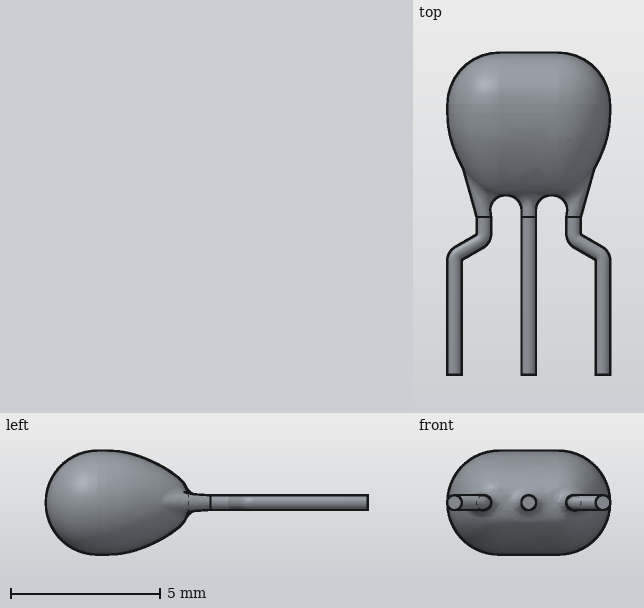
import cadquery as cq
import math

lead_radius = 0.25
lead_end_span = 4.98
lead_end_pitch = lead_end_span / 2
lead_root_pitch = 1.5
bend_radius = 0.3
bend_slope = 30
lower_bend_y = 3.81
coating_end_y = 5.28

coating_top_y = 10.8
coating_radius = 1.75
flat_length = 0.29
core_half_width = 0.98
belly_height = 1.48
belly_y = 7.45
throat_height = 0.83
throat_y = 6.34
belly_tip_y = 6.0

collar_top_y = 7.88
collar_top_radius = 0.43
collar_top_x = 2.04
web_radius = 0.48

round_start_y = coating_top_y - coating_radius
taper_start_y = round_start_y - flat_length


def drop_half_profile():
    """Half of the drop in the YZ plane, closed along the Y axis."""
    diagonal = coating_radius * math.sqrt(0.5)
    return (
        cq.Workplane("YZ")
        .moveTo(coating_top_y, 0)
        .threePointArc((round_start_y + diagonal, diagonal), (round_start_y, coating_radius))
        .lineTo(taper_start_y, coating_radius)
        .spline(
            [(belly_y, belly_height), (throat_y, throat_height), (belly_tip_y, 0)],
            tangents=[(-1, 0), (0, -1)],
            includeCurrent=True,
        )
        .close()
    )


def drop_core():
    upper = drop_half_profile().extrude(2 * core_half_width).translate((-core_half_width, 0, 0))
    core = upper.union(upper.mirror("XY"))
    end = drop_half_profile().revolve(360, (0, 0, 0), (1, 0, 0))
    for side in (-1, 1):
        core = core.union(end.translate((side * core_half_width, 0, 0)))
    return core


def collar(bottom_x, top_x, top_radius):
    """Round stem that leans and widens from the lead into the drop."""
    bottom = cq.Wire.makeCircle(lead_radius, cq.Vector(bottom_x, coating_end_y, 0), cq.Vector(0, 1, 0))
    top = cq.Wire.makeCircle(top_radius, cq.Vector(top_x, collar_top_y, 0), cq.Vector(0, 1, 0))
    return cq.Workplane(cq.Solid.makeLoft([bottom, top], True))


def make_coating():
    body = drop_core()
    body = body.union(collar(0, 0, lead_radius))
    for side in (-1, 1):
        body = body.union(collar(side * lead_root_pitch, side * collar_top_x, collar_top_radius))
    seam_box = cq.selectors.BoxSelector(
        (-coating_radius - core_half_width, coating_end_y + lead_radius, -coating_radius),
        (coating_radius + core_half_width, belly_y, coating_radius),
        boundingbox=True,
    )
    seams = body.edges(seam_box - cq.selectors.TypeSelector("LINE"))
    return seams.fillet(web_radius)


def make_outer_lead(side):
    slope = math.radians(bend_slope)
    corner_setback = bend_radius * math.tan((math.pi / 2 - slope) / 2)
    lower_corner_y = lower_bend_y + corner_setback
    upper_corner_y = lower_corner_y + (lead_end_pitch - lead_root_pitch) * math.tan(slope)
    run_x = corner_setback * math.cos(slope)
    run_y = corner_setback * math.sin(slope)
    end_x = side * lead_end_pitch
    root_x = side * lead_root_pitch
    path = (
        cq.Workplane("XY")
        .moveTo(end_x, 0)
        .lineTo(end_x, lower_bend_y)
        .tangentArcPoint((end_x - side * run_x, lower_corner_y + run_y), relative=False)
        .lineTo(root_x + side * run_x, upper_corner_y - run_y)
        .tangentArcPoint((root_x, upper_corner_y + corner_setback), relative=False)
        .lineTo(root_x, coating_end_y)
    )
    return cq.Workplane("XZ").center(end_x, 0).circle(lead_radius).sweep(path)


def make_centre_lead():
    return cq.Workplane("XZ").circle(lead_radius).extrude(-coating_end_y)


coating = make_coating()
centre_lead = make_centre_lead()
outer_leads = [make_outer_lead(side) for side in (-1, 1)]

result = cq.Compound.makeCompound(
    [coating.solids().val(), centre_lead.val(), *[lead.val() for lead in outer_leads]]
)